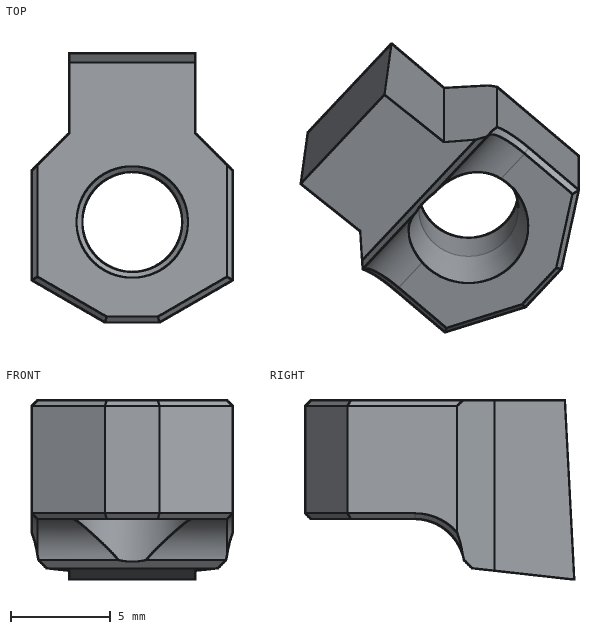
import cadquery as cq
import math

length = 13.5
width = 10.08
height = 9.0
half_width = width / 2
front_y = -half_width
back_y = front_y + length
edge_chamfer = 0.3

front_flat_width = 2.73
front_corner_angle = 30.0
shoulder_y = 2.58
tail_half_width = 3.16

head_thickness = 5.97
back_lean = 0.47
undercut_start_y = 0.46
undercut_radius = 2.5
heel_y = 2.92
heel_chamfer = 0.42

bore_radius = 2.5
clearance_radius = 3.0
flare_start_z = -3.25

front_half_flat = front_flat_width / 2
front_corner_y = front_y + (half_width - front_half_flat) * math.tan(math.radians(front_corner_angle))


def side_profile_block():
    """Full-width block with the undercut, sloped foot and leaning back face."""
    arc_center_z = -head_thickness - undercut_radius

    def undercut_point(y):
        across = y - undercut_start_y
        return (y, arc_center_z + math.sqrt(undercut_radius**2 - across**2))

    arc_middle = undercut_point((undercut_start_y + heel_y) / 2)
    heel = undercut_point(heel_y)
    foot = (heel[0] + heel_chamfer, heel[1] - heel_chamfer)
    return (
        cq.Workplane("YZ", origin=(-half_width, 0, 0))
        .moveTo(front_y, 0)
        .lineTo(front_y, -head_thickness)
        .lineTo(undercut_start_y, -head_thickness)
        .threePointArc(arc_middle, heel)
        .lineTo(*foot)
        .lineTo(back_y, -height)
        .lineTo(back_y - back_lean, 0)
        .close()
        .extrude(width)
    )


def plan_prism(outline):
    """Upright prism spanning the full height, with the given plan outline."""
    return cq.Workplane("XY").workplane(offset=-height).polyline(outline).close().extrude(height)


def mirrored(right_side):
    """Closed symmetric outline from its +X half, listed front to back."""
    return right_side + [(-x, y) for x, y in reversed(right_side)]


nose = [(front_half_flat, front_y), (half_width, front_corner_y)]
shoulder_end_y = shoulder_y + half_width - tail_half_width

body = side_profile_block().intersect(plan_prism(mirrored(nose + [(half_width, back_y)])))

tolerance = 0.001


def is_rim_edge(edge):
    """True for the front and side edges around the top face and the underside."""
    box = edge.BoundingBox()
    on_top = box.zmin > -tolerance and box.ymin < front_corner_y + tolerance
    on_underside = box.ymax < heel_y + tolerance and abs(box.zmax + head_thickness) < tolerance
    across_body = box.ylen < tolerance and box.ymin > front_y + tolerance
    return (on_top or on_underside) and not across_body


rim_edges = [edge for edge in body.edges().vals() if is_rim_edge(edge)]
body = body.newObject(rim_edges).chamfer(edge_chamfer)

body = body.intersect(
    plan_prism(
        mirrored(
            nose
            + [
                (half_width, shoulder_y),
                (tail_half_width, shoulder_end_y),
                (tail_half_width, back_y),
            ]
        )
    )
)

bore_cutter = (
    cq.Workplane("XZ")
    .moveTo(0, 0)
    .lineTo(bore_radius + edge_chamfer, 0)
    .lineTo(bore_radius, -edge_chamfer)
    .lineTo(bore_radius, flare_start_z)
    .lineTo(clearance_radius, -head_thickness)
    .lineTo(clearance_radius, -height)
    .lineTo(0, -height)
    .close()
    .revolve(360, (0, 0, 0), (0, 1, 0))
)
result = body.cut(bore_cutter)